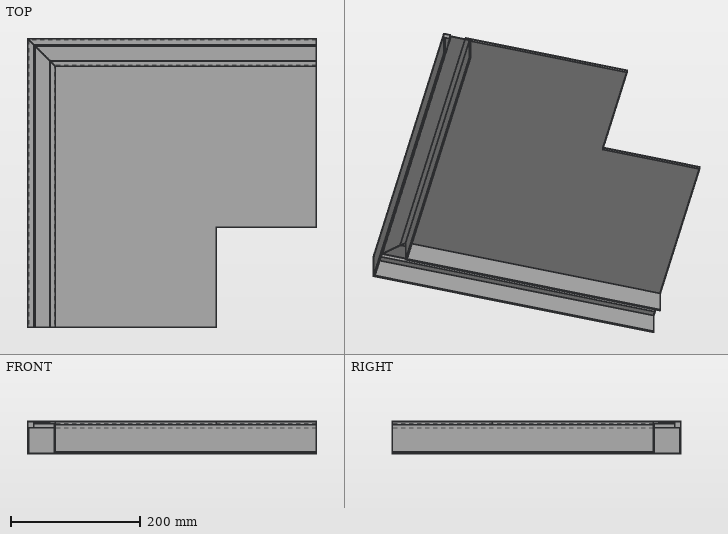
import cadquery as cq

side = 447.5
height = 50.0

rim_size = 10.0
skirt_thickness = 2.0

rail_gap = 1.5
plate_drop = 3.0
plate_underside_depth = 4.0
strip_start = 35.0
strip_slope_width = 1.0
panel_start = 43.0
inner_skirt_clearance = 3.0

panel_thickness = 5.5
notch_size = 155.0


def mitred_rail(section):
    """Extrude an (offset from outer face, height) section along Y and mitre it at the +Y end."""
    bar = cq.Workplane("XZ").polyline(section).close().extrude(-side)
    mitre_area = (
        cq.Workplane("XY")
        .polyline([(0, 0), (side, 0), (0, side)])
        .close()
        .extrude(height)
    )
    return bar.intersect(mitre_area)


def across_mitre(rail):
    """Reflect a left rail in the mitre plane x + y = side, giving the matching back rail."""
    turned = rail.rotate((0, 0, 0), (0, 0, 1), 90)
    return turned.mirror("XZ").translate((side, side, 0))


def make_outer_rail():
    rim_underside = height - rim_size
    return mitred_rail([
        (0, 0),
        (skirt_thickness, 0),
        (skirt_thickness, rim_underside),
        (rim_size, rim_underside),
        (rim_size, height),
        (0, height),
    ])


def make_inner_rail():
    plate_start = rim_size + rail_gap
    plate_top = height - plate_drop
    plate_underside = height - plate_underside_depth
    skirt_face = panel_start - skirt_thickness
    return mitred_rail([
        (plate_start, plate_underside),
        (skirt_face, plate_underside),
        (skirt_face, inner_skirt_clearance),
        (panel_start, inner_skirt_clearance),
        (panel_start, height),
        (strip_start, height),
        (strip_start - strip_slope_width, plate_top),
        (plate_start, plate_top),
    ])


def make_panel():
    """Flat panel filling the frame, with a square notch at the open corner."""
    back_edge = side - panel_start
    notch_x = side - notch_size
    outline = [
        (panel_start, 0),
        (notch_x, 0),
        (notch_x, notch_size),
        (side, notch_size),
        (side, back_edge),
        (panel_start, back_edge),
    ]
    return (
        cq.Workplane("XY", origin=(0, 0, height - panel_thickness))
        .polyline(outline)
        .close()
        .extrude(panel_thickness)
    )


left_rails = [make_outer_rail(), make_inner_rail()]
back_rails = [across_mitre(rail) for rail in left_rails]
panel = make_panel()

result = cq.Compound.makeCompound([
    *[rail.val() for rail in left_rails + back_rails],
    panel.val(),
])